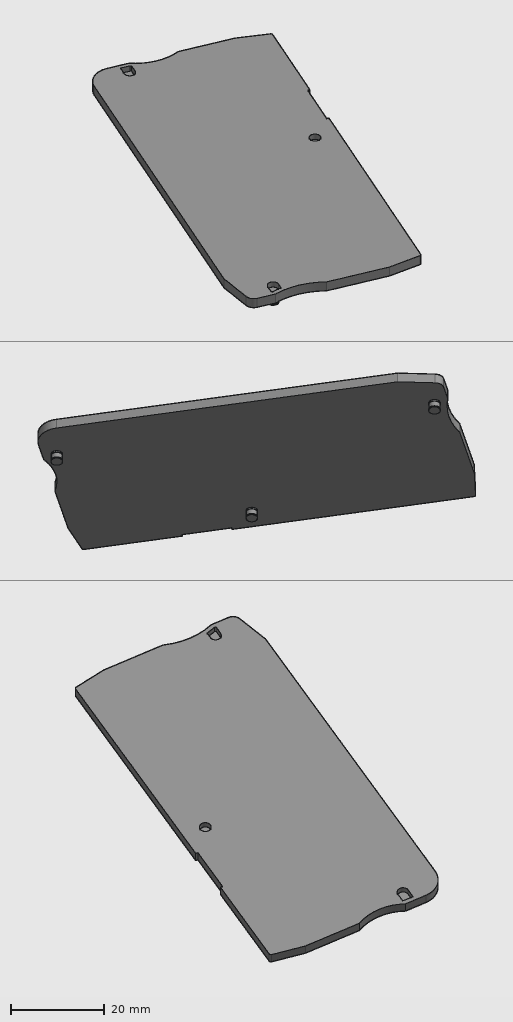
import cadquery as cq

length = 89.0
width = 42.4
thickness = 2.4

top_inset = 1.45
taper_start_y = 34.5
top_corner_radius = 0.4
bottom_left_radius = 5.0
bottom_bevel_start_x = 79.8
bottom_bevel_rise = 2.45
bottom_right_radius = 2.0

left_hollow_bottom, left_hollow_top, left_hollow_depth = 10.05, 21.35, 1.4
right_hollow_bottom, right_hollow_top, right_hollow_depth = 8.2, 20.0, 1.1

notch_left_x = 23.3
notch_right_x = 34.2
notch_depth = 0.5

pin_length = 2.0
pin_diameter = 2.5
neck_diameter = 2.4
collar_height = 0.4
rim_height = 0.3
socket_depth = 1.4
slot_reach = 3.0
slot_wall = 1.0
slot_corner_radius = 0.3
lower_pin_y = 8.9
left_pin = (3.15, lower_pin_y)
middle_pin = (39.7, 37.0)
right_pin = (85.9, lower_pin_y)


def edge_near(x, y):
    """Selector for the edge whose middle is closest to (x, y)."""
    return cq.selectors.NearestToPointSelector((x, y, thickness / 2))


def plate_outline():
    """Closed outline of the plate with sharp corners."""
    left_hollow_middle = (left_hollow_bottom + left_hollow_top) / 2
    right_hollow_middle = (right_hollow_bottom + right_hollow_top) / 2
    return (
        cq.Workplane("XY")
        .moveTo(0, 0)
        .lineTo(bottom_bevel_start_x, 0)
        .lineTo(length, bottom_bevel_rise)
        .lineTo(length, right_hollow_bottom)
        .threePointArc((length - right_hollow_depth, right_hollow_middle), (length, right_hollow_top))
        .lineTo(length, taper_start_y)
        .lineTo(length - top_inset, width)
        .lineTo(top_inset, width)
        .lineTo(0, taper_start_y)
        .lineTo(0, left_hollow_top)
        .threePointArc((left_hollow_depth, left_hollow_middle), (0, left_hollow_bottom))
        .close()
    )


def make_plate():
    plate = plate_outline().extrude(thickness)
    plate = plate.edges(edge_near(0, 0)).fillet(bottom_left_radius)
    plate = plate.edges(edge_near(length, bottom_bevel_rise)).fillet(bottom_right_radius)
    for corner_x in (top_inset, length - top_inset):
        plate = plate.edges(edge_near(corner_x, width)).fillet(top_corner_radius)
    return plate


def make_notch():
    return (
        cq.Workplane("XY")
        .rect(notch_right_x - notch_left_x, 2 * notch_depth)
        .extrude(thickness)
        .translate(((notch_left_x + notch_right_x) / 2, width, 0))
    )


def make_pin(center):
    """Pin with a full-diameter collar and end rim and a slightly thinner neck between them."""
    neck = cq.Workplane("XY").circle(neck_diameter / 2).extrude(-pin_length)
    collar = cq.Workplane("XY").circle(pin_diameter / 2).extrude(-collar_height)
    rim = cq.Workplane("XY").workplane(offset=-pin_length).circle(pin_diameter / 2).extrude(rim_height)
    return neck.union(collar).union(rim).translate((*center, 0))


def make_round_socket(center):
    return (
        cq.Workplane("XY")
        .workplane(offset=thickness - socket_depth)
        .circle(pin_diameter / 2)
        .extrude(socket_depth)
        .translate((*center, 0))
    )


def make_side_socket(center, outward):
    """Socket stretched along X (outward = -1 or +1) until an even wall is left at the plate edge."""
    slot = (
        cq.Workplane("XY")
        .workplane(offset=thickness - socket_depth)
        .center(center[0] + outward * slot_reach / 2, center[1])
        .rect(slot_reach, pin_diameter)
        .extrude(socket_depth)
    )
    inside_wall = plate_outline().offset2D(-slot_wall).extrude(thickness)
    return slot.intersect(inside_wall).union(make_round_socket(center))


def round_slot_corner(socket):
    """Round the lower outer corner of the right-hand side socket."""
    corner = edge_near(length - slot_wall, lower_pin_y - pin_diameter / 2)
    return socket.edges("|Z").edges(corner).fillet(slot_corner_radius)


result = make_plate().cut(make_notch())
for pin_center in (left_pin, middle_pin, right_pin):
    result = result.union(make_pin(pin_center))
result = result.cut(make_side_socket(left_pin, -1))
result = result.cut(make_round_socket(middle_pin))
result = result.cut(round_slot_corner(make_side_socket(right_pin, 1)))